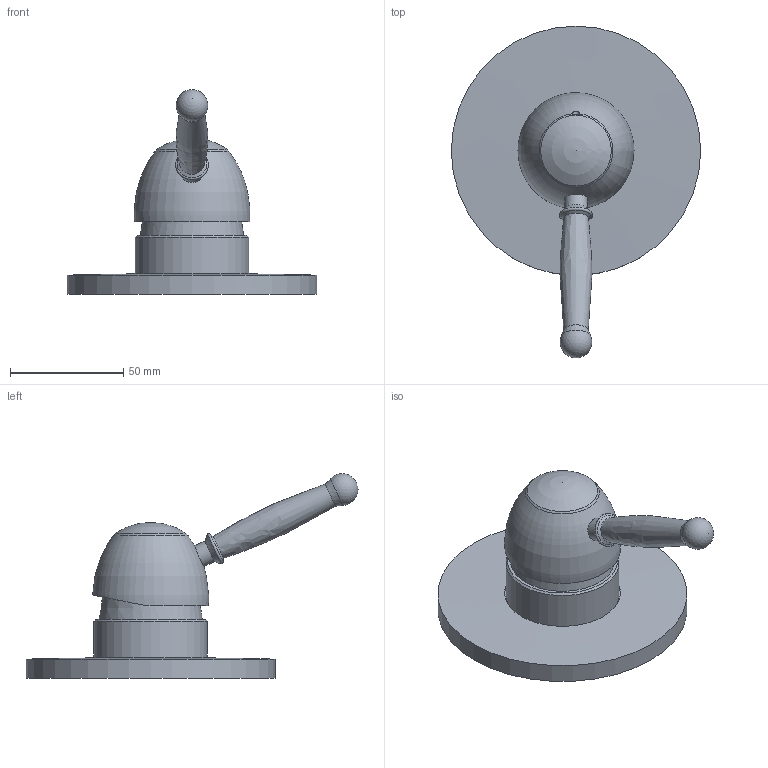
import cadquery as cq
import math

PLATE_RADIUS = 55.0
PLATE_RIM_HEIGHT = 8.5
PLATE_TOP = 9.05
CLEARANCE_RADIUS = 25.6
CLEARANCE_DEPTH = 1.0

BODY_RADIUS = 25.0
BODY_TOP = 26.0
BODY_CHAMFER = 0.8

NECK_BOTTOM_RADIUS = 22.8
NECK_TOP_RADIUS = 21.2
NECK_TOP = 37.0

DOME_RADIUS = 25.5
DOME_BOTTOM = 32.1
DOME_MID_RADIUS = 23.4
DOME_MID_HEIGHT = 49.5
DOME_TOP_RADIUS = 16.3
DOME_TOP = 63.2
RELIEF_START_Y = 2.2
RELIEF_ANGLE = 11.4
RELIEF_OVERSHOOT = 2.0

CAP_RADIUS = 15.6
CAP_BOTTOM = 64.0
CAP_APEX = 68.8

NOTCH_RADIUS = 1.5
NOTCH_CAP_GAP = 0.1

LEVER_ANGLE = 25.0
BALL_RADIUS = 7.0
BALL_REACH = 84.5
BALL_HEIGHT = 83.34
BALL_NECK_STATION = 2.7
GRIP_FRONT_STATION = 5.8
GRIP_FRONT_RADIUS = 5.4
GRIP_MID_STATION = 32.0
GRIP_MID_RADIUS = 7.0
GRIP_BACK_STATION = 60.3
GRIP_BACK_RADIUS = 5.4
COLLAR_RADIUS = 7.3
COLLAR_BEAD_RADIUS = 0.7
COLLAR_BEAD_STATION = 61.8
STEM_FRONT_STATION = 64.6
STEM_BACK_STATION = 82.0
STEM_RADIUS = 5.0


def make_plate():
    """Disc with a shallow clearance recess around the body."""
    profile = (
        cq.Workplane("XZ")
        .lineTo(PLATE_RADIUS, 0)
        .lineTo(PLATE_RADIUS, PLATE_RIM_HEIGHT)
        .lineTo(CLEARANCE_RADIUS, PLATE_TOP)
        .lineTo(CLEARANCE_RADIUS, PLATE_TOP - CLEARANCE_DEPTH)
        .lineTo(0, PLATE_TOP - CLEARANCE_DEPTH)
        .close()
    )
    return profile.revolve(360, (0, 0, 0), (0, 1, 0))


def make_body():
    """Chamfered cylinder with the tapered neck above it."""
    profile = (
        cq.Workplane("XZ")
        .lineTo(BODY_RADIUS, 0)
        .lineTo(BODY_RADIUS, BODY_TOP - BODY_CHAMFER)
        .lineTo(BODY_RADIUS - BODY_CHAMFER, BODY_TOP)
        .lineTo(NECK_BOTTOM_RADIUS, BODY_TOP)
        .lineTo(NECK_TOP_RADIUS, NECK_TOP)
        .lineTo(0, NECK_TOP)
        .close()
    )
    return profile.revolve(360, (0, 0, 0), (0, 1, 0))


def make_dome():
    """Dome and cap as one revolved shape, with the rear underside relieved and the rim notched."""
    cap_rise = CAP_APEX - CAP_BOTTOM
    cap_sphere_radius = (CAP_RADIUS**2 + cap_rise**2) / (2 * cap_rise)
    cap_mid_radius = CAP_RADIUS / 2
    cap_mid_drop = cap_sphere_radius - math.sqrt(cap_sphere_radius**2 - cap_mid_radius**2)
    dome = (
        cq.Workplane("XZ")
        .moveTo(0, DOME_BOTTOM)
        .lineTo(DOME_RADIUS, DOME_BOTTOM)
        .threePointArc((DOME_MID_RADIUS, DOME_MID_HEIGHT), (DOME_TOP_RADIUS, DOME_TOP))
        .lineTo(CAP_RADIUS, CAP_BOTTOM)
        .threePointArc((cap_mid_radius, CAP_APEX - cap_mid_drop), (0, CAP_APEX))
        .close()
        .revolve(360, (0, 0, 0), (0, 1, 0))
    )
    relief_end_y = DOME_RADIUS + RELIEF_OVERSHOOT
    relief_rise = (relief_end_y - RELIEF_START_Y) * math.tan(math.radians(RELIEF_ANGLE))
    relief = (
        cq.Workplane("YZ")
        .moveTo(RELIEF_START_Y, DOME_BOTTOM)
        .lineTo(relief_end_y, DOME_BOTTOM + relief_rise)
        .lineTo(relief_end_y, DOME_BOTTOM)
        .close()
        .extrude(relief_end_y, both=True)
    )
    notch_start_y = CAP_RADIUS + NOTCH_CAP_GAP
    notch_length = DOME_RADIUS - notch_start_y
    notch_plane = cq.Plane(origin=(0, notch_start_y, DOME_TOP), xDir=(0, 0, 1), normal=(0, 1, 0))
    notch = cq.Workplane(notch_plane).circle(NOTCH_RADIUS).extrude(notch_length)
    return dome.cut(relief).cut(notch)


def make_lever():
    """Stem, collar, swelling grip and ball, revolved about the inclined lever axis."""
    angle = math.radians(LEVER_ANGLE)
    inward = (0, math.cos(angle), -math.sin(angle))
    lever_plane = cq.Plane(origin=(0, -BALL_REACH, BALL_HEIGHT), xDir=inward, normal=(1, 0, 0))
    grip_middle = (GRIP_MID_STATION, GRIP_MID_RADIUS)
    grip_back = (GRIP_BACK_STATION, GRIP_BACK_RADIUS)
    ball_neck_radius = math.sqrt(BALL_RADIUS**2 - BALL_NECK_STATION**2)

    bead_centre_radius = COLLAR_RADIUS - COLLAR_BEAD_RADIUS
    cone_length = STEM_FRONT_STATION - COLLAR_BEAD_STATION
    cone_drop = bead_centre_radius - STEM_RADIUS
    stem_distance = math.hypot(cone_length, cone_drop)
    tangent_angle = math.acos(COLLAR_BEAD_RADIUS / stem_distance) - math.atan2(cone_drop, cone_length)
    bead_end = (
        COLLAR_BEAD_STATION + COLLAR_BEAD_RADIUS * math.cos(tangent_angle),
        bead_centre_radius + COLLAR_BEAD_RADIUS * math.sin(tangent_angle),
    )

    profile = (
        cq.Workplane(lever_plane)
        .moveTo(-BALL_RADIUS, 0)
        .threePointArc((0, BALL_RADIUS), (BALL_NECK_STATION, ball_neck_radius))
        .lineTo(GRIP_FRONT_STATION, GRIP_FRONT_RADIUS)
        .spline([grip_middle, grip_back], includeCurrent=True)
        .lineTo(COLLAR_BEAD_STATION - COLLAR_BEAD_RADIUS, bead_centre_radius)
        .threePointArc((COLLAR_BEAD_STATION, COLLAR_RADIUS), bead_end)
        .lineTo(STEM_FRONT_STATION, STEM_RADIUS)
        .lineTo(STEM_BACK_STATION, STEM_RADIUS)
        .lineTo(STEM_BACK_STATION, 0)
        .close()
    )
    return profile.revolve(360, (0, 0, 0), (1, 0, 0))


result = make_plate().union(make_body()).union(make_dome()).union(make_lever())